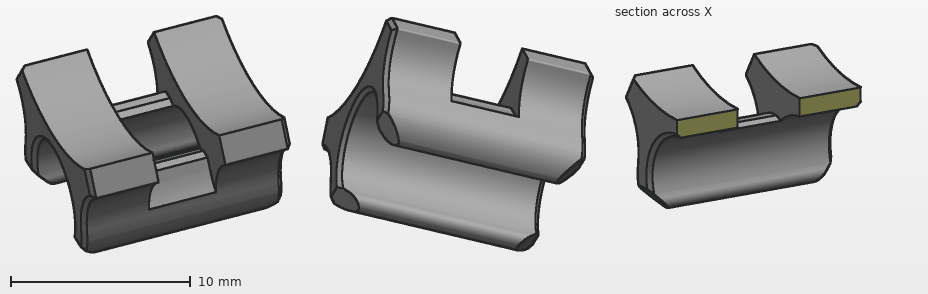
import cadquery as cq
import math

length = 11.99
top_z = 5.38
bore_radius = 3.0
end_chamfer = 0.25
bottom_chamfer = 1.27

saddle_radius = 9.71
saddle_low_z = 4.09
wall_tilt = math.radians(32.3)
wing_fillet = 0.12

neck_radius = 3.5
hip_radius = 5.25
hip_angle = math.radians(8.7)
hip_x = 4.44
hip_z = -0.22
lower_radius = 2.0
lip_radius = 0.5

window_width = 4.0
rail_inner_x = 1.98
rail_flat_x = 2.47
rail_outer_x = 3.1
rail_top_z = 2.45
rail_wall_height = 0.59
rail_cove_radius = 4.0


def polar(center, radius, angle):
    return (center[0] + radius * math.cos(angle), center[1] + radius * math.sin(angle))


def toward(start, end, distance):
    """Point at a distance from start on the ray through end."""
    return polar(start, distance, math.atan2(end[1] - start[1], end[0] - start[0]))


def middle_angle_point(center, radius, first, second):
    """Middle point of the short arc between two points."""
    middle = ((first[0] + second[0]) / 2, (first[1] + second[1]) / 2)
    return toward(center, middle, radius)


saddle_center = (0, saddle_low_z + saddle_radius)
saddle_tip = (math.sqrt(saddle_radius**2 - (saddle_center[1] - top_z) ** 2), top_z)
wall_direction = (math.sin(wall_tilt), -math.cos(wall_tilt))

hip_start = (hip_x, hip_z)
hip_center = (hip_x - hip_radius, hip_z)
hip_end = polar(hip_center, hip_radius, hip_angle)
neck_center = polar(hip_center, hip_radius + neck_radius, hip_angle)

to_tip = (saddle_tip[0] - neck_center[0], saddle_tip[1] - neck_center[1])
along_wall = to_tip[0] * wall_direction[0] + to_tip[1] * wall_direction[1]
excess = to_tip[0] ** 2 + to_tip[1] ** 2 - neck_radius**2
wall_length = -along_wall - math.sqrt(along_wall**2 - excess)
wing_corner = (
    saddle_tip[0] + wall_length * wall_direction[0],
    saddle_tip[1] + wall_length * wall_direction[1],
)
neck_middle = middle_angle_point(neck_center, neck_radius, wing_corner, hip_end)

lower_center = (hip_x - lower_radius, hip_z)
bore_to_lip = bore_radius + lip_radius
lower_to_lip = lower_radius - lip_radius
center_distance = math.hypot(*lower_center)
lip_cosine = (bore_to_lip**2 + center_distance**2 - lower_to_lip**2) / (2 * bore_to_lip * center_distance)
lip_angle = math.atan2(lower_center[1], lower_center[0]) - math.acos(lip_cosine)
lip_center = polar((0, 0), bore_to_lip, lip_angle)
lip_outer = toward(lower_center, lip_center, lower_radius)
lip_inner = polar((0, 0), bore_radius, lip_angle)
lip_middle = middle_angle_point(lip_center, lip_radius, lip_outer, lip_inner)
lower_middle = middle_angle_point(lower_center, lower_radius, hip_start, lip_outer)
bottom_z = lip_center[1] - lip_radius


def half_section():
    """Right half of the cross-section at the +Y end, closed along X = 0."""
    saddle_middle = middle_angle_point(saddle_center, saddle_radius, (0, saddle_low_z), saddle_tip)
    bore_middle = polar((0, 0), bore_radius, (lip_angle + math.pi / 2) / 2)
    return (
        cq.Workplane("XZ", origin=(0, length / 2, 0))
        .moveTo(0, saddle_low_z)
        .threePointArc(saddle_middle, saddle_tip)
        .lineTo(*wing_corner)
        .threePointArc(neck_middle, hip_end)
        .threePointArc(polar(hip_center, hip_radius, hip_angle / 2), hip_start)
        .threePointArc(lower_middle, lip_outer)
        .threePointArc(lip_middle, lip_inner)
        .threePointArc(bore_middle, (0, bore_radius))
        .close()
    )


def is_chamfered(edge):
    """True for end edges other than the saddle arc and the straight edge along X = 0."""
    center = edge.Center()
    on_saddle = center.z > saddle_low_z and center.x < saddle_tip[0]
    on_symmetry_plane = center.x < 0.12
    return not (on_saddle or on_symmetry_plane)


def make_half():
    """Right half with chamfered end edges and a rounded wing corner."""
    half = half_section().extrude(length)
    half = half.faces("<Y or >Y").edges().filter(is_chamfered).chamfer(end_chamfer)
    return half.edges("|Y").edges(">X").fillet(wing_fillet)


def window_cutter():
    """Space above the rail on the right half."""
    wall_end_z = rail_top_z - rail_wall_height
    wall_end = (rail_outer_x + rail_wall_height * math.tan(wall_tilt), wall_end_z)
    cove_center = polar(wall_end, rail_cove_radius, wall_tilt)
    cove_start_angle = wall_tilt + math.pi
    cove_sweep = math.radians(35)
    rail_inner_z = math.sqrt(bore_radius**2 - rail_inner_x**2)
    return (
        cq.Workplane("XZ")
        .moveTo(0, rail_inner_z)
        .lineTo(rail_inner_x, rail_inner_z)
        .lineTo(rail_flat_x, rail_top_z)
        .lineTo(rail_outer_x, rail_top_z)
        .lineTo(*wall_end)
        .threePointArc(
            polar(cove_center, rail_cove_radius, cove_start_angle + cove_sweep / 2),
            polar(cove_center, rail_cove_radius, cove_start_angle + cove_sweep),
        )
        .lineTo(length, top_z)
        .lineTo(length, length)
        .lineTo(0, length)
        .close()
        .extrude(window_width / 2, both=True)
    )


def bottom_corner_cutter(side):
    """Triangular prism removing the lower corner at one end; side is -1 or 1."""
    end_y = side * length / 2
    return (
        cq.Workplane("YZ")
        .polyline([
            (end_y, bottom_z + bottom_chamfer),
            (end_y, bottom_z),
            (end_y - side * bottom_chamfer, bottom_z),
        ])
        .close()
        .extrude(length, both=True)
    )


half = make_half().cut(window_cutter())
for side in (-1, 1):
    half = half.cut(bottom_corner_cutter(side))

result = half.union(half.mirror("YZ"), clean=False)